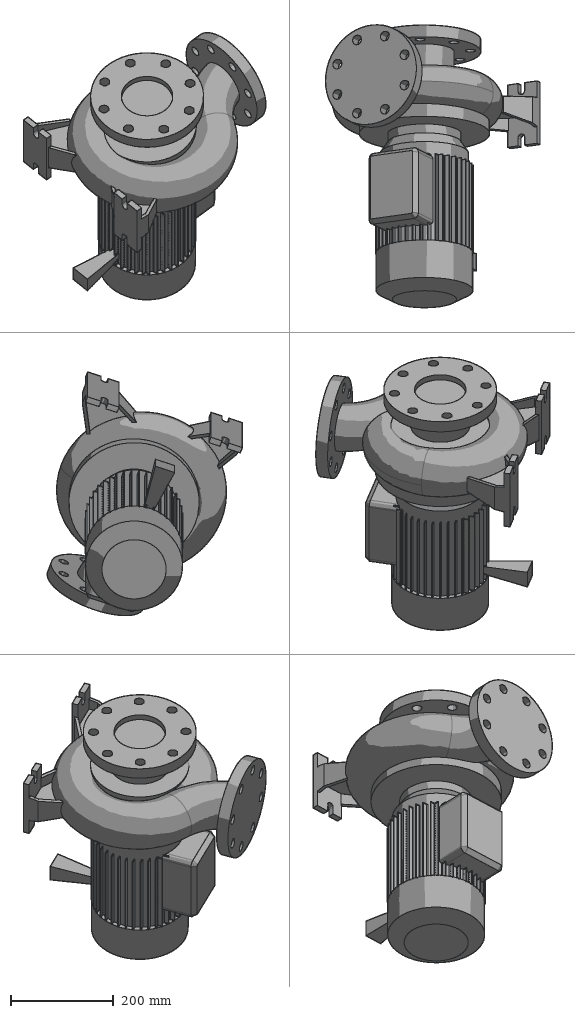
import cadquery as cq
import math


tube_radius = 47.0
scroll_center_x = 15.0
scroll_radius = 119.2
scroll_start_angle = 180.0
tail_end_angle = 65.0
tail_end_tube_radius = 39.0
tail_section_count = 6
volute_face_z = 40.0
volute_cover_radius = 96.0
backplate_radius = 127.0
backplate_bottom_z = -64.5
backplate_top_z = -20.0

flange_thickness = 24.0
bolt_count = 8
bolt_hole_diameter = 19.0
suction_flange_diameter = 220.0
suction_bolt_circle = 180.0
suction_top_z = 125.0
suction_pipe_diameter = 116.0
suction_bore_diameter = 100.0
suction_bore_depth = 12.0
outlet_flange_diameter = 200.0
outlet_bolt_circle = 160.0
outlet_face_y = 225.0

neck_radius = 71.5
motor_radius = 86.0
fan_cover_radius = 94.5
fan_cover_end_radius = 62.5
neck_bottom_z = -82.5
motor_top_z = -104.0
fin_top_z = -130.0
fin_bottom_z = -305.0
fan_cover_edge_z = -381.0
motor_bottom_z = -399.0
fin_count = 40
fin_thickness = 2.0
fin_tip_radius = 95.0
fin_root_offset = 50.0

box_width = 108.0
box_height = 143.0
box_face_y = 139.0
box_inner_y = 60.0
box_corner_radius = 10.0
box_lid_chamfer_depth = 10.0
box_lid_chamfer_inset = 8.0

foot_face_y = -180.0
foot_thickness = 12.0
foot_back_y = foot_face_y + foot_thickness
foot_inner_x = 95.0
foot_outer_x = 160.0
foot_height = 126.0
foot_slot_center_x = 125.0
foot_slot_width = 14.0
foot_slot_depth = 23.0
wall_thickness = 6.5
outer_wall_bend_y = -149.0
outer_wall_angle = 116.5
inner_wall_start_y = -174.5
inner_wall_angle = 149.5
outer_wall_length = 70.0
inner_wall_length = 80.0
bracket_root_half_height = 29.5
bracket_taper = 0.163
web_thickness = 10.0

prop_width = 40.0
prop_height = 35.0
prop_center_z = -282.5
prop_end_y = -80.0
prop_end_scale = 0.45


def polar(radius, angle):
    return radius * math.cos(math.radians(angle)), radius * math.sin(math.radians(angle))


def tube_arc(center_x, center_y, bend_radius, start_angle, sweep):
    """Round tube bent about a vertical axis, swept counter-clockwise from start_angle."""
    return (
        cq.Workplane("XZ")
        .center(bend_radius, 0)
        .circle(tube_radius)
        .revolve(sweep, (-bend_radius, 0), (-bend_radius, 1))
        .rotate((0, 0, 0), (0, 0, 1), start_angle)
        .translate((center_x, center_y, 0))
    )


def disc(radius, bottom_z, top_z):
    return cq.Workplane("XY").workplane(offset=bottom_z).circle(radius).extrude(top_z - bottom_z)


def flange(diameter, bolt_circle):
    """Flange lying on the XY plane, bolt holes straddling the axes."""
    return (
        cq.Workplane("XY")
        .circle(diameter / 2)
        .extrude(flange_thickness)
        .faces(">Z")
        .workplane()
        .polarArray(bolt_circle / 2, 180 / bolt_count, 360, bolt_count)
        .hole(bolt_hole_diameter)
    )


def make_tail():
    """Narrowing start of the scroll; its outer side keeps a constant distance from the motor axis."""
    outer_radius = scroll_radius - scroll_center_x + tube_radius
    sections = []
    for index in range(tail_section_count):
        progress = index / (tail_section_count - 1)
        angle = scroll_start_angle + progress * (tail_end_angle - scroll_start_angle)
        radius = tube_radius + progress * (tail_end_tube_radius - tube_radius)
        center_x, center_y = polar(outer_radius - radius, angle)
        along_x, along_y = polar(1, angle + 90)
        section = cq.Wire.makeCircle(
            radius, cq.Vector(center_x, center_y, 0), cq.Vector(along_x, along_y, 0)
        )
        sections.append(section)
    return cq.Workplane(cq.Solid.makeLoft(sections))


def make_volute():
    square_gap = scroll_center_x**2 + outlet_face_y**2 - scroll_radius**2
    bend_radius = square_gap / (2 * (scroll_radius + scroll_center_x))
    join_angle = math.degrees(math.atan2(outlet_face_y, bend_radius - scroll_center_x))
    main_sweep = 360 - scroll_start_angle + join_angle

    main_turn = tube_arc(scroll_center_x, 0, scroll_radius, scroll_start_angle, main_sweep)
    outlet = tube_arc(bend_radius, outlet_face_y, bend_radius, 180, join_angle)
    cover = disc(volute_cover_radius, backplate_top_z, volute_face_z)
    backplate = disc(backplate_radius, backplate_bottom_z, backplate_top_z)
    return main_turn.union(outlet).union(make_tail()).union(cover).union(backplate)


def make_suction():
    pipe = disc(suction_pipe_diameter / 2, 0, suction_top_z - flange_thickness)
    ring = flange(suction_flange_diameter, suction_bolt_circle)
    ring = ring.translate((0, 0, suction_top_z - flange_thickness))
    bore = disc(suction_bore_diameter / 2, suction_top_z - suction_bore_depth, suction_top_z)
    return pipe.union(ring).cut(bore)


def make_outlet_flange():
    ring = flange(outlet_flange_diameter, outlet_bolt_circle)
    return ring.rotate((0, 0, 0), (1, 0, 0), -90).translate((0, outlet_face_y - flange_thickness, 0))


def make_motor():
    profile = [
        (0, backplate_top_z),
        (neck_radius, backplate_top_z),
        (neck_radius, neck_bottom_z),
        (motor_radius, motor_top_z),
        (motor_radius, fin_bottom_z),
        (fan_cover_radius, fin_bottom_z),
        (fan_cover_radius, fan_cover_edge_z),
        (fan_cover_end_radius, motor_bottom_z),
        (0, motor_bottom_z),
    ]
    body = cq.Workplane("XZ").polyline(profile).close().revolve(360, (0, 0), (0, 1))
    return body.union(make_fins())


def make_fins():
    """Cooling fins in four groups, parallel within a group, with tips evenly spread on a circle."""
    fins = cq.Workplane("XY")
    fin_pitch = 360 / fin_count
    fins_per_group = fin_count // 4
    for index in range(fins_per_group):
        angle = 90 + (index - (fins_per_group - 1) / 2) * fin_pitch
        tip_x, tip_y = polar(fin_tip_radius, angle)
        fin = cq.Workplane("XY").box(
            fin_thickness,
            tip_y - fin_root_offset,
            fin_top_z - fin_bottom_z,
            centered=(True, False, False),
        ).translate((tip_x, fin_root_offset, fin_bottom_z))
        for group in range(4):
            fins = fins.add(fin.rotate((0, 0, 0), (0, 0, 1), group * 90))
    return fins.combine()


def make_terminal_box():
    depth = box_face_y - box_inner_y
    return (
        cq.Workplane("XY")
        .box(box_width, depth, box_height)
        .edges("|Y")
        .fillet(box_corner_radius)
        .faces(">Y")
        .chamfer(box_lid_chamfer_inset, box_lid_chamfer_depth)
        .translate((0, (box_face_y + box_inner_y) / 2, fin_top_z - box_height / 2))
    )


def ray_end(start, angle, length):
    dx, dy = polar(length, angle)
    return start[0] + dx, start[1] + dy


def prism(points, half_height):
    return cq.Workplane("XY").polyline(points).close().extrude(half_height, both=True)


def make_foot_plate():
    """Upright plate of the +X foot with an open slot at its top and bottom."""
    plate_width = foot_outer_x - foot_inner_x
    plate_center_x = (foot_inner_x + foot_outer_x) / 2
    plate = cq.Workplane("XY").box(plate_width, foot_thickness, foot_height)
    plate = plate.translate((plate_center_x, foot_face_y + foot_thickness / 2, 0))
    slots = (
        cq.Workplane("XZ", origin=(foot_slot_center_x, foot_back_y, 0))
        .pushPoints([(0, foot_height / 2), (0, -foot_height / 2)])
        .slot2D(2 * foot_slot_depth, foot_slot_width, 90)
        .extrude(foot_thickness)
    )
    return plate.cut(slots)


def make_foot_bracket():
    """Two flared walls joined by a horizontal web, running from the +X plate into the volute."""
    outer_bend = (foot_outer_x, outer_wall_bend_y)
    outer_end = ray_end(outer_bend, outer_wall_angle, outer_wall_length)
    inner_start = (foot_inner_x, inner_wall_start_y)
    inner_end = ray_end(inner_start, inner_wall_angle, inner_wall_length)
    outline = [
        inner_start,
        (foot_outer_x, inner_wall_start_y),
        outer_bend,
        outer_end,
        inner_end,
    ]

    mitre_shift = wall_thickness * math.tan(math.radians((outer_wall_angle - 90) / 2))
    inner_bend = (foot_outer_x - wall_thickness, outer_wall_bend_y - mitre_shift)
    inner_face_start = ray_end(inner_start, inner_wall_angle - 90, wall_thickness)
    beyond = 2 * inner_wall_length
    pocket = [
        inner_face_start,
        (inner_bend[0], inner_face_start[1]),
        inner_bend,
        ray_end(inner_bend, outer_wall_angle, beyond),
        ray_end(inner_face_start, inner_wall_angle, beyond),
    ]
    walls = prism(outline, foot_height / 2).cut(prism(pocket, foot_height / 2))

    front_half_height = bracket_root_half_height + bracket_taper * foot_thickness
    axis_half_height = bracket_root_half_height + bracket_taper * foot_back_y
    side_profile = [
        (foot_face_y, front_half_height),
        (0, axis_half_height),
        (0, -axis_half_height),
        (foot_face_y, -front_half_height),
    ]
    side_envelope = cq.Workplane("YZ").polyline(side_profile).close().extrude(foot_outer_x)
    return walls.intersect(side_envelope).union(prism(outline, web_thickness / 2))


def make_prop():
    """Tapered block holding the motor at the level of the feet."""
    return (
        cq.Workplane("XZ", origin=(0, foot_face_y, prop_center_z))
        .rect(prop_width, prop_height)
        .workplane(offset=foot_face_y - prop_end_y)
        .rect(prop_width * prop_end_scale, prop_height * prop_end_scale)
        .loft(ruled=True)
    )


foot = make_foot_plate().union(make_foot_bracket())
result = make_volute()
for feature in (
    make_suction(),
    make_outlet_flange(),
    make_motor(),
    make_terminal_box(),
    foot,
    foot.mirror("YZ"),
    make_prop(),
):
    result = result.union(feature)